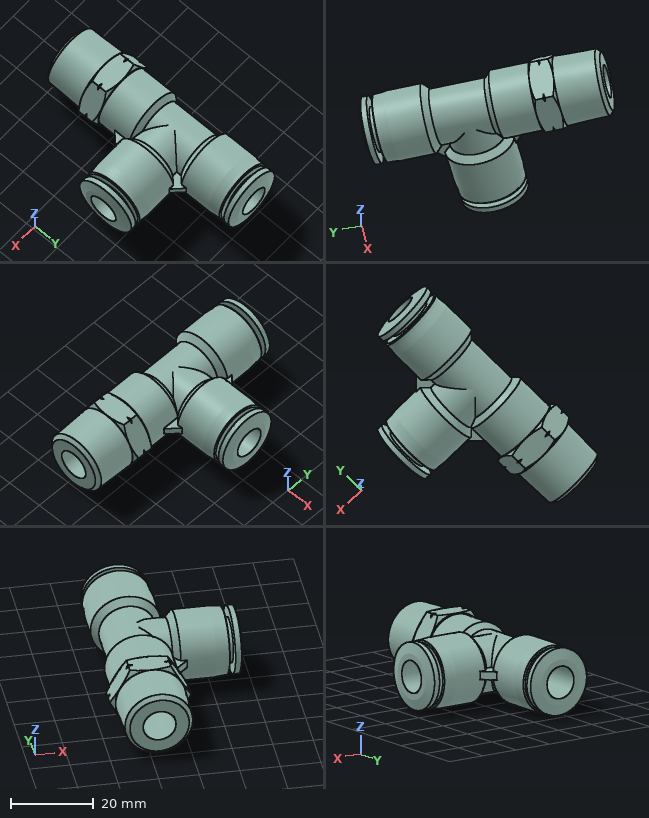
import cadquery as cq
import math


neck_end = 8.4
socket_start = 10.1
taper_start = 18.9
ring_start = 21.1
ring_chamfer_start = 22.1
ring_end = 22.3
collar_start = 23.6
collar_cone_start = 25.1
port_end = 25.8

neck_radius = 7.0
socket_radius = 8.75
ring_radius = 8.5
ring_end_radius = 8.0
collar_stem_radius = 5.6
collar_radius = 8.45
collar_end_radius = 5.7

overall_length = 60.3
thread_end = overall_length - port_end
leg_neck_end = 5.5
leg_start = 7.0
leg_radius = 8.5
thread_length = 11.5
hex_height = 6.0
thread_chamfer_length = 0.95
thread_root_radius = 8.7
thread_tip_radius = 8.4
thread_chamfer_radius = 7.3
bore_radius = 4.05

hex_across_flats = 2 * socket_radius
hex_corner_radius = hex_across_flats / 2 / math.cos(math.radians(30))
hex_chamfer_angle = 30.0
hex_near = thread_end - thread_length - hex_height
hex_far = hex_near + hex_height
notch_depth = 0.5
notch_width = 0.55

web_reach = 20.3
web_thickness = 2.05


def turned(profile):
    """Solid of revolution about +Y from (radius, distance) points, closed along the axis."""
    first_distance = profile[0][1]
    last_distance = profile[-1][1]
    outline = [(0, first_distance)] + profile + [(0, last_distance)]
    return cq.Workplane("XY").polyline(outline).close().revolve(360, (0, 0, 0), (0, 1, 0))


def push_in_port():
    """Neck, socket, end ring and release collar, pointing along +Y."""
    return turned([
        (neck_radius, 0),
        (neck_radius, neck_end),
        (socket_radius, socket_start),
        (socket_radius, taper_start),
        (ring_radius, ring_start),
        (ring_radius, ring_chamfer_start),
        (ring_end_radius, ring_end),
        (collar_stem_radius, ring_end),
        (collar_stem_radius, collar_start),
        (collar_radius, collar_start),
        (collar_radius, collar_cone_start),
        (collar_end_radius, port_end),
    ])


def threaded_leg():
    """Neck, plain body and tapered thread blank, pointing along -Y."""
    leg = turned([
        (neck_radius, 0),
        (neck_radius, leg_neck_end),
        (leg_radius, leg_start),
        (leg_radius, hex_far),
        (thread_root_radius, hex_far),
        (thread_tip_radius, thread_end - thread_chamfer_length),
        (thread_chamfer_radius, thread_end),
    ])
    return leg.rotate((0, 0, 0), (0, 0, 1), 180)


def hexagon():
    """Hexagon with corners on +X and -X, chamfered ends and notched corners."""
    prism = (
        cq.Workplane("XZ", origin=(0, -hex_near, 0))
        .polygon(6, 2 * hex_corner_radius)
        .extrude(hex_height)
    )
    flat_radius = hex_across_flats / 2
    chamfer_length = (hex_corner_radius - flat_radius) * math.tan(math.radians(hex_chamfer_angle))
    notch_middle = (hex_near + hex_far) / 2
    envelope = turned([
        (flat_radius, hex_near),
        (hex_corner_radius, hex_near + chamfer_length),
        (hex_corner_radius, notch_middle - notch_width / 2),
        (hex_corner_radius - notch_depth, notch_middle),
        (hex_corner_radius, notch_middle + notch_width / 2),
        (hex_corner_radius, hex_far - chamfer_length),
        (flat_radius, hex_far),
    ]).rotate((0, 0, 0), (0, 0, 1), 180)
    return prism.intersect(envelope)


def corner_webs():
    """Flat plate with 45 degree edges that fills both corners of the tee."""
    return (
        cq.Workplane("XY")
        .polyline([(0, -web_reach), (web_reach, 0), (0, web_reach)])
        .close()
        .extrude(web_thickness / 2, both=True)
    )


def bores():
    """Through bore along the run and the branch bore that meets it."""
    run_bore = turned([(bore_radius, -thread_end), (bore_radius, port_end)])
    branch_bore = turned([(bore_radius, 0), (bore_radius, port_end)])
    return run_bore.union(branch_bore.rotate((0, 0, 0), (0, 0, 1), -90))


run_port = push_in_port()
branch_port = run_port.rotate((0, 0, 0), (0, 0, 1), -90)

result = (
    run_port
    .union(threaded_leg())
    .union(branch_port)
    .union(hexagon())
    .union(corner_webs())
    .cut(bores())
)